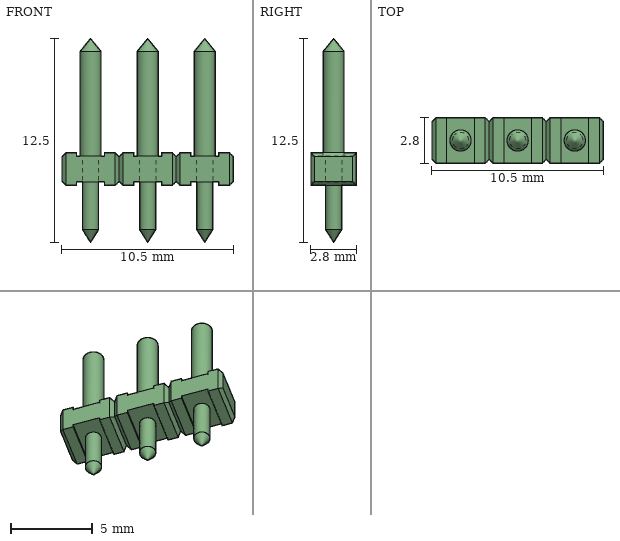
import cadquery as cq

position_count = 3
pitch = 3.5
housing_depth = 2.8
housing_height = 2.0
housing_bottom = 3.5
edge_chamfer = 0.24
recess_width = 1.7
recess_depth = 0.21

pin_length = 12.5
contact_diameter = 1.3
tail_diameter = 1.0
contact_tip_length = 0.79
tail_tip_length = 0.79

housing_middle = housing_bottom + housing_height / 2
shoulder_height = housing_bottom + housing_height - recess_depth
pin_positions = [(i - (position_count - 1) / 2) * pitch for i in range(position_count)]


def make_cell(x):
    """One block of the housing: chamfered ends, recesses above and below, pin hole."""
    cell = (
        cq.Workplane("XY")
        .box(pitch, housing_depth, housing_height)
        .faces("<X or >X")
        .chamfer(edge_chamfer)
    )
    floor_spacing = housing_height - 2 * recess_depth
    for side in (-1, 1):
        recess = cq.Workplane("XY").box(recess_width, housing_depth, 2 * recess_depth)
        cell = cell.cut(recess.translate((0, 0, side * (floor_spacing / 2 + recess_depth))))
    hole = cq.Workplane("XY").circle(tail_diameter / 2).extrude(housing_height, both=True)
    return cell.cut(hole).translate((x, 0, housing_middle))


def make_housing():
    """Row of blocks joined end to end; facing chamfers form V grooves between them."""
    housing = make_cell(pin_positions[0])
    for x in pin_positions[1:]:
        housing = housing.union(make_cell(x))
    return housing


def make_pin(x):
    """Round pointed pin whose shoulder rests on the floor of the upper recess."""
    contact_radius = contact_diameter / 2
    tail_radius = tail_diameter / 2
    return (
        cq.Workplane("XZ")
        .moveTo(0, 0)
        .lineTo(tail_radius, tail_tip_length)
        .lineTo(tail_radius, shoulder_height)
        .lineTo(contact_radius, shoulder_height)
        .lineTo(contact_radius, pin_length - contact_tip_length)
        .lineTo(0, pin_length)
        .close()
        .revolve(360, (0, 0, 0), (0, 1, 0))
        .translate((x, 0, 0))
    )


housing = make_housing()
pins = [make_pin(x) for x in pin_positions]

result = cq.Compound.makeCompound([housing.val(), *[pin.val() for pin in pins]])